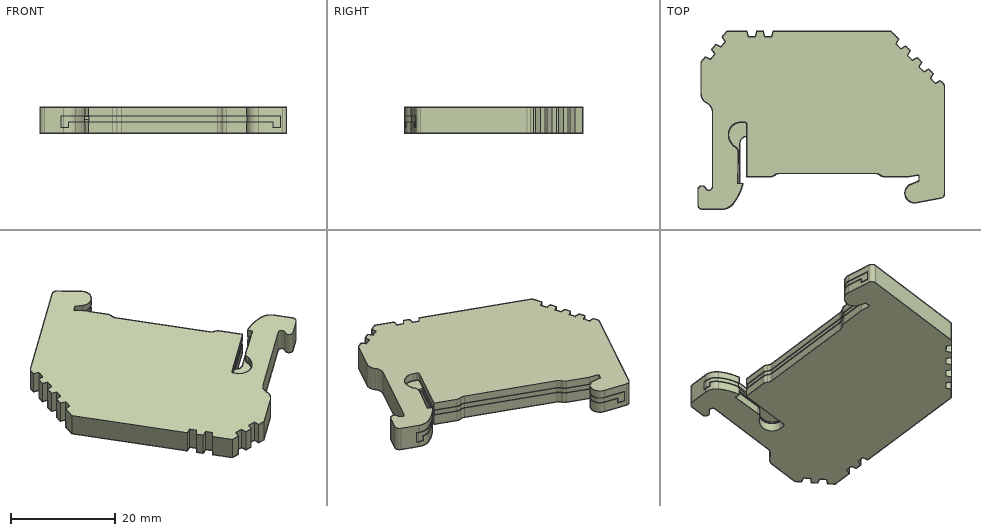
import cadquery as cq
import math


length = 47.35
height = 34.2
thickness = 5.0

left_face_x = 0.6
left_slope_bottom_y = 28.25
left_slope_top_x = 5.6
right_slope_top_x = 37.0
right_slope_drop = length - right_slope_top_x
right_corner_radius = 0.95
notch_mouth = 1.85
notch_floor = 1.33
notch_depth = 1.05
notch_pitch = 3.12
first_left_notch = 2.22
first_top_notch = 4.8
first_right_notch = 3.1
left_notch_count = 2
top_notch_count = 2
right_notch_count = 4

arm_x = 2.8
shoulder_top_y = 22.15
shoulder_bottom_y = 18.65
foot_bump_radius = 0.8
foot_bump_y = 3.75
foot_valley_radius = 0.65
foot_corner_radius = 0.95
foot_heel_x = 4.55
foot_heel_radius = 2.95
foot_heel_turn = math.radians(52)
foot_tip = (8.7, 5.0)

arm_inner_bottom_x = 7.65
arm_inner_top = (7.8, 10.9)
slot_right_x = 9.35
lobe_center = (8.35, 14.3)
lobe_radius = 2.4
lobe_exit_angle = math.radians(220)
lobe_middle_angle = math.radians(155)
lobe_blend_start = (6.85, 12.2)
slot_corner_radius = 0.45

rail_face_y = 6.25
relief_y = 6.85
relief_left_x = 13.9
relief_right_x = 35.8
relief_ramp = 1.7

hook_notch_start_x = 40.4
hook_notch_x = 42.35
hook_notch_top_y = 6.6
hook_notch_bottom_y = 5.5
hook_notch_fillet = 0.2
nose_center = (41.55, 3.12)
nose_radius = 1.9
nose_top_angle = math.radians(108)
hook_base_slope = math.radians(10.8)

overlap = 0.25

layer_bottom_z = 2.22
layer_top_z = 3.3
layer_recess = 0.1
layer_left_x = 4.05
layer_right_x = 46.15
lip_width = 1.4
lip_bottom_z = 1.15
lip_top_y = 2.85

web_bottom_z = 2.7
web_top_z = 3.2
web_slot_x = 8.1
web_slot_top_y = 13.95


def polar(center, radius, angle):
    """Point on a circle."""
    return (center[0] + radius * math.cos(angle), center[1] + radius * math.sin(angle))


def midpoint(start, end):
    return ((start[0] + end[0]) / 2, (start[1] + end[1]) / 2)


def foot_outline(wire):
    """Down the outer side of the arm, round the foot and back to its tip."""
    bump_center = (foot_bump_radius, foot_bump_y)
    valley_x = arm_x - foot_valley_radius
    center_gap = foot_bump_radius + foot_valley_radius
    valley_y = foot_bump_y + math.sqrt(center_gap**2 - (valley_x - foot_bump_radius) ** 2)
    valley_angle = math.atan2(valley_y - foot_bump_y, valley_x - foot_bump_radius)
    heel_center = (foot_heel_x, foot_heel_radius)
    heel_start_angle = -math.pi / 2
    return (
        wire.lineTo(arm_x, valley_y)
        .threePointArc(
            (valley_x, valley_y - foot_valley_radius),
            polar(bump_center, foot_bump_radius, valley_angle),
        )
        .threePointArc((foot_bump_radius, foot_bump_y + foot_bump_radius), (0, foot_bump_y))
        .lineTo(0, foot_corner_radius)
        .tangentArcPoint((foot_corner_radius, 0), relative=False)
        .lineTo(foot_heel_x, 0)
        .threePointArc(
            polar(heel_center, foot_heel_radius, heel_start_angle + foot_heel_turn / 2),
            polar(heel_center, foot_heel_radius, heel_start_angle + foot_heel_turn),
        )
        .tangentArcPoint(foot_tip, relative=False)
    )


def slot_outline(wire):
    """Up the inner side of the arm, round the lobe and down the body wall."""
    lobe_exit = polar(lobe_center, lobe_radius, lobe_exit_angle)
    lobe_top_y = lobe_center[1] + lobe_radius
    corner_start_x = slot_right_x - slot_corner_radius
    return (
        wire.lineTo(arm_inner_bottom_x, foot_tip[1])
        .lineTo(*arm_inner_top)
        .tangentArcPoint(lobe_blend_start, relative=False)
        .lineTo(*lobe_exit)
        .threePointArc(polar(lobe_center, lobe_radius, lobe_middle_angle), (lobe_center[0], lobe_top_y))
        .lineTo(corner_start_x, lobe_top_y)
        .tangentArcPoint((slot_right_x, lobe_top_y - slot_corner_radius), relative=False)
        .lineTo(slot_right_x, rail_face_y)
    )


def rail_outline(wire):
    """Along the rail face with its shallow relief."""
    left_start = (relief_left_x, rail_face_y)
    left_end = (relief_left_x + relief_ramp, relief_y)
    right_start = (relief_right_x - relief_ramp, relief_y)
    right_end = (relief_right_x, rail_face_y)
    return (
        wire.lineTo(*left_start)
        .tangentArcPoint(midpoint(left_start, left_end), relative=False)
        .tangentArcPoint(left_end, relative=False)
        .lineTo(*right_start)
        .tangentArcPoint(midpoint(right_start, right_end), relative=False)
        .tangentArcPoint(right_end, relative=False)
    )


def hook_outline(wire):
    """Into the rail notch, round the nose and along the sloping base."""
    nose_bottom_angle = hook_base_slope - math.pi / 2
    nose_bottom = polar(nose_center, nose_radius, nose_bottom_angle)
    base_end_y = nose_bottom[1] + (length - nose_bottom[0]) * math.tan(hook_base_slope)
    return (
        wire.lineTo(hook_notch_start_x, rail_face_y)
        .lineTo(hook_notch_x, hook_notch_top_y)
        .lineTo(hook_notch_x, hook_notch_bottom_y)
        .lineTo(*polar(nose_center, nose_radius, nose_top_angle))
        .threePointArc(polar(nose_center, nose_radius, math.pi), nose_bottom)
        .lineTo(length, base_end_y)
    )


def plate():
    """Full-thickness plate with plain slopes along its upper edge."""
    shoulder_top = (left_face_x, shoulder_top_y)
    shoulder_bottom = (arm_x, shoulder_bottom_y)
    wire = (
        cq.Workplane("XY")
        .moveTo(left_slope_top_x, height)
        .lineTo(left_face_x, left_slope_bottom_y)
        .lineTo(*shoulder_top)
        .tangentArcPoint(midpoint(shoulder_top, shoulder_bottom), relative=False)
        .tangentArcPoint(shoulder_bottom, relative=False)
    )
    wire = hook_outline(rail_outline(slot_outline(foot_outline(wire))))
    wire = wire.lineTo(length, height - right_slope_drop).lineTo(right_slope_top_x, height)
    body = wire.close().extrude(thickness)
    body = body.edges("|Z").edges(">X").fillet(right_corner_radius)
    for corner_y in (hook_notch_top_y, hook_notch_bottom_y):
        corner = cq.selectors.NearestToPointSelector((hook_notch_x, corner_y, thickness / 2))
        body = body.edges("|Z").edges(corner).fillet(hook_notch_fillet)
    return body


def edge_notches(start, end, first, count):
    """Row of tapered notches in the edge that runs clockwise from start to end."""
    angle = math.atan2(end[1] - start[1], end[0] - start[0])
    flare = (notch_mouth - notch_floor) / 2 / notch_depth
    half_outer = notch_mouth / 2 + flare * overlap
    notches = cq.Workplane("XY")
    for index in range(count):
        center = first + index * notch_pitch
        notch = (
            cq.Workplane("XY")
            .polyline(
                [
                    (center - half_outer, overlap),
                    (center - notch_floor / 2, -notch_depth),
                    (center + notch_floor / 2, -notch_depth),
                    (center + half_outer, overlap),
                ]
            )
            .close()
            .extrude(thickness)
        )
        notches = notches.add(notch)
    return notches.combine().rotate((0, 0, 0), (0, 0, 1), math.degrees(angle)).translate((*start, 0))


def block(x_min, x_max, y_min, y_max, z_min, z_max):
    """Axis-aligned box between limits."""
    size = (x_max - x_min, y_max - y_min, z_max - z_min)
    return cq.Workplane("XY").box(*size, centered=False).translate((x_min, y_min, z_min))


def layer_recess_band(body):
    """Thin skin along the rail side where the inner layer sits below the surface."""
    inset_outline = body.faces("<Z").wires().val().offset2D(-layer_recess)[0]
    core = cq.Workplane("XY").add(inset_outline).toPending().extrude(thickness)
    skin = body.cut(core)
    reach_y = lobe_center[1] + lobe_radius + overlap
    zone = block(layer_left_x, layer_right_x, 0, reach_y, layer_bottom_z, layer_top_z)
    for lip_x in (layer_left_x, layer_right_x - lip_width):
        lip = block(lip_x, lip_x + lip_width, 0, lip_top_y, lip_bottom_z, layer_bottom_z)
        zone = zone.union(lip)
    return skin.intersect(zone)


def slot_web():
    """Thin web that fills the lobe and narrows the slot."""
    lobe_left_x = lobe_center[0] - lobe_radius
    lobe_top_y = lobe_center[1] + lobe_radius
    web_slot_radius = slot_right_x - web_slot_x
    web = block(
        lobe_left_x - overlap,
        slot_right_x + overlap,
        foot_tip[1],
        lobe_top_y + overlap,
        web_bottom_z,
        web_top_z,
    )
    opening = (
        cq.Workplane("XY")
        .moveTo(web_slot_x, 0)
        .lineTo(web_slot_x, web_slot_top_y - web_slot_radius)
        .tangentArcPoint((slot_right_x, web_slot_top_y), relative=False)
        .lineTo(slot_right_x + overlap, web_slot_top_y)
        .lineTo(slot_right_x + overlap, 0)
        .close()
        .extrude(thickness)
    )
    return web.cut(opening)


body = plate()
body = body.cut(layer_recess_band(body))
body = body.union(slot_web())
left_slope_bottom = (left_face_x, left_slope_bottom_y)
left_slope_top = (left_slope_top_x, height)
right_slope_top = (right_slope_top_x, height)
right_slope_bottom = (length, height - right_slope_drop)
body = body.cut(edge_notches(left_slope_bottom, left_slope_top, first_left_notch, left_notch_count))
body = body.cut(edge_notches(left_slope_top, right_slope_top, first_top_notch, top_notch_count))
body = body.cut(edge_notches(right_slope_top, right_slope_bottom, first_right_notch, right_notch_count))
result = body